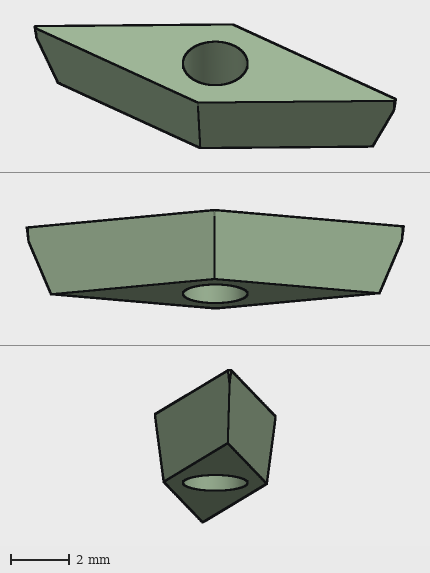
import cadquery as cq
import math

width = 3.97
thickness = 2.38
acute_angle = 35.0
clearance_angle = 7.0
nose_radius = 0.06
hole_diameter = 2.22

half_width = width / 2
acute = math.radians(acute_angle)
side = width / math.sin(acute)
slant_run = width / math.tan(acute)
tip_x = (side + slant_run) / 2
blunt_x = (side - slant_run) / 2

nose_depth = nose_radius / math.tan(math.radians(clearance_angle))


def make_body():
    """Rhombus narrowing downwards from the top face."""
    outline = [
        (-tip_x, -half_width),
        (blunt_x, -half_width),
        (tip_x, half_width),
        (-blunt_x, half_width),
    ]
    return (
        cq.Workplane("XY", origin=(0, 0, thickness))
        .polyline(outline)
        .close()
        .extrude(-thickness, taper=clearance_angle)
    )


def step(point, heading, length):
    """Point reached by moving from point along a heading in radians."""
    return (
        point[0] + length * math.cos(heading),
        point[1] + length * math.sin(heading),
    )


def round_corner(body, corner, heading, angle):
    """Replace the sharp upper end of a corner edge with a cone.

    The corner opens counter-clockwise by angle from the side at heading.
    """
    tangent_length = nose_radius / math.tan(angle / 2)
    first_tangent = step(corner, heading, tangent_length)
    second_tangent = step(corner, heading + angle, tangent_length)
    centre = step(first_tangent, heading + math.pi / 2, nose_radius)
    sharp_end = (
        cq.Workplane("XY", origin=(0, 0, thickness))
        .polyline([corner, first_tangent, centre, second_tangent])
        .close()
        .extrude(-nose_depth)
    )
    cone = cq.Solid.makeCone(
        nose_radius, 0, nose_depth, cq.Vector(*centre, thickness), cq.Vector(0, 0, -1)
    )
    return body.cut(sharp_end).union(cq.Workplane(cone))


result = make_body()

for sign, half_turn in ((1, 0), (-1, math.pi)):
    acute_corner = (-sign * tip_x, -sign * half_width)
    obtuse_corner = (sign * blunt_x, -sign * half_width)
    result = round_corner(result, acute_corner, half_turn, acute)
    result = round_corner(result, obtuse_corner, half_turn + acute, math.pi - acute)

hole = cq.Workplane("XY").circle(hole_diameter / 2).extrude(thickness)
result = result.cut(hole)